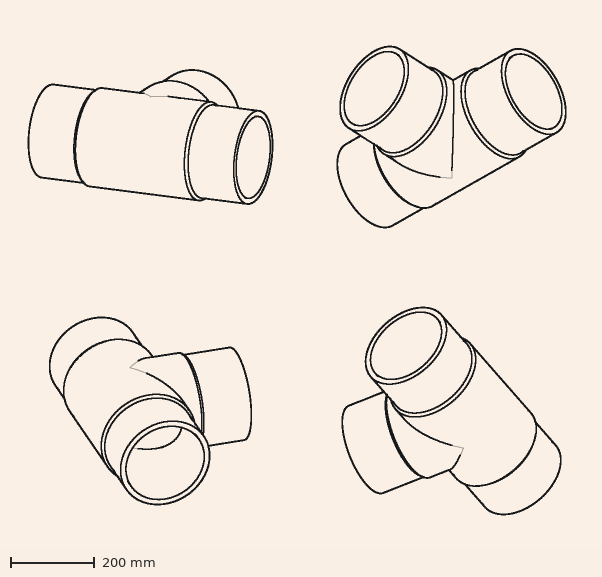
import cadquery as cq

run_length = 540.0
pipe_diameter = 225.0
bore_diameter = 197.5
body_diameter = 238.0
body_length = 300.0
shoulder_length = 7.0

arm_reach = run_length / 2
body_reach = body_length / 2
pipe_radius = pipe_diameter / 2
bore_radius = bore_diameter / 2
body_radius = body_diameter / 2


def revolve_about_x(outline):
    """Revolve an (axial, radial) outline, closed along the X axis, into a solid."""
    first_axial = outline[0][0]
    last_axial = outline[-1][0]
    return (
        cq.Workplane("XY")
        .polyline([(first_axial, 0)] + outline + [(last_axial, 0)])
        .close()
        .revolve(360, (0, 0, 0), (1, 0, 0))
    )


def run_and_branch(arm_outline):
    """Join a run, symmetric about the centre, to a branch; arm_outline goes outward along one arm."""
    mirrored_outline = [(-axial, radius) for axial, radius in reversed(arm_outline)]
    run = revolve_about_x(mirrored_outline + arm_outline)
    branch = revolve_about_x([(0, arm_outline[0][1])] + arm_outline)
    return run.union(branch.rotate((0, 0, 0), (0, 0, 1), 90))


outer_outline = [
    (body_reach - shoulder_length, body_radius),
    (body_reach, pipe_radius),
    (arm_reach, pipe_radius),
]
bore_outline = [(arm_reach, bore_radius)]

result = run_and_branch(outer_outline).cut(run_and_branch(bore_outline)).clean()